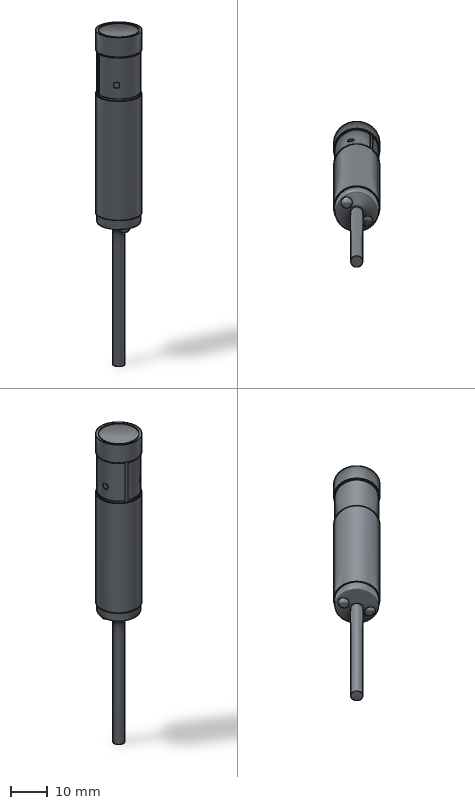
import cadquery as cq
import math

TOTAL_HEIGHT = 97.5
HOUSING_RADIUS = 6.3
BORE_RADIUS = 5.6
CABLE_RADIUS = 1.7

HEAD_BOTTOM_Z = 91.8
SHOULDER_Z = 79.0
BARREL_BOTTOM_Z = 44.3
NECK_RADIUS = 5.9

FACE_THICKNESS = 1.95
FACE_RECESS = 0.2

LABEL_RADIUS = 6.0
LABEL_TOP_GAP = 0.4
LABEL_BOTTOM_GAP = 0.6
LABEL_TOP_Z = HEAD_BOTTOM_Z - LABEL_TOP_GAP
LABEL_BOTTOM_Z = SHOULDER_Z + LABEL_BOTTOM_GAP
SLIT_WIDTH = 0.9
SLIT_CENTER_X = -0.2
SLIT_CORNER_RADIUS = 0.6

WINDOW_RADIUS = 0.9
WINDOW_DEPTH = 0.8
WINDOW_Z = 83.6
WINDOW_ANGLES = (-150.0, -30.0)

CAP_RADIUS = 6.0
CAP_RIM_Z = 41.3
CAP_RIM_FILLET = 0.7
CAP_TIP_Z = 40.4
CAP_TIP_RADIUS = 2.0
PLUG_LENGTH = 2.9
PLUG_TOP_Z = BARREL_BOTTOM_Z + PLUG_LENGTH
BUMP_RADIUS = 1.7
BUMP_OFFSET = 3.7
BUMP_BOTTOM_Z = 39.8


def cylinder(radius, bottom_z, top_z):
    return cq.Workplane("XY").workplane(offset=bottom_z).circle(radius).extrude(top_z - bottom_z)


def make_housing():
    barrel = cylinder(HOUSING_RADIUS, BARREL_BOTTOM_Z, SHOULDER_Z)
    neck = cylinder(NECK_RADIUS, SHOULDER_Z, HEAD_BOTTOM_Z)
    head = cylinder(HOUSING_RADIUS, HEAD_BOTTOM_Z, TOTAL_HEIGHT)
    face_seat = cylinder(BORE_RADIUS, TOTAL_HEIGHT - FACE_RECESS - FACE_THICKNESS, TOTAL_HEIGHT)
    plug_seat = cylinder(BORE_RADIUS, BARREL_BOTTOM_Z, PLUG_TOP_Z)
    return barrel.union(neck).union(head).cut(face_seat).cut(plug_seat)


def make_face():
    top_z = TOTAL_HEIGHT - FACE_RECESS
    return cylinder(BORE_RADIUS, top_z - FACE_THICKNESS, top_z)


def make_window(angle):
    rod = (
        cq.Workplane("YZ")
        .workplane(offset=LABEL_RADIUS - WINDOW_DEPTH)
        .center(0, WINDOW_Z)
        .circle(WINDOW_RADIUS)
        .extrude(2 * WINDOW_DEPTH)
        .rotate((0, 0, 0), (0, 0, 1), angle)
    )
    return rod.intersect(cylinder(LABEL_RADIUS, SHOULDER_Z, HEAD_BOTTOM_Z))


def make_label():
    """Thin wrap around the neck, its two ends meeting at a slit on the -Y side."""
    wrap = cylinder(LABEL_RADIUS, LABEL_BOTTOM_Z, LABEL_TOP_Z)
    wrap = wrap.cut(cylinder(NECK_RADIUS, LABEL_BOTTOM_Z, LABEL_TOP_Z))
    half = SLIT_WIDTH / 2
    flare = half + SLIT_CORNER_RADIUS
    corner_z = LABEL_TOP_Z - SLIT_CORNER_RADIUS
    bend = SLIT_CORNER_RADIUS * (1 - math.sqrt(0.5))
    slit = (
        cq.Workplane("XZ")
        .center(SLIT_CENTER_X, 0)
        .moveTo(-half, LABEL_BOTTOM_Z)
        .lineTo(half, LABEL_BOTTOM_Z)
        .lineTo(half, corner_z)
        .threePointArc((half + bend, LABEL_TOP_Z - bend), (flare, LABEL_TOP_Z))
        .lineTo(-flare, LABEL_TOP_Z)
        .threePointArc((-half - bend, LABEL_TOP_Z - bend), (-half, corner_z))
        .close()
        .extrude(HOUSING_RADIUS)
    )
    return wrap.cut(slit)


def make_end_cap():
    fillet_start = CAP_RADIUS - CAP_RIM_FILLET
    bend = CAP_RIM_FILLET * math.sqrt(0.5)
    body = (
        cq.Workplane("XZ")
        .moveTo(0, CAP_TIP_Z)
        .lineTo(CAP_TIP_RADIUS, CAP_TIP_Z)
        .lineTo(fillet_start, CAP_RIM_Z)
        .threePointArc(
            (fillet_start + bend, CAP_RIM_Z + CAP_RIM_FILLET - bend),
            (CAP_RADIUS, CAP_RIM_Z + CAP_RIM_FILLET),
        )
        .lineTo(CAP_RADIUS, BARREL_BOTTOM_Z)
        .lineTo(BORE_RADIUS, BARREL_BOTTOM_Z)
        .lineTo(BORE_RADIUS, PLUG_TOP_Z)
        .lineTo(0, PLUG_TOP_Z)
        .close()
        .revolve(360, (0, 0, 0), (0, 1, 0))
    )
    for side in (-1, 1):
        center = (side * BUMP_OFFSET, 0, BUMP_BOTTOM_Z + BUMP_RADIUS)
        body = body.union(cq.Workplane("XY").sphere(BUMP_RADIUS).translate(center))
    return body.cut(cylinder(CABLE_RADIUS, CAP_TIP_Z, PLUG_TOP_Z))


def make_cable():
    return cylinder(CABLE_RADIUS, 0, PLUG_TOP_Z)


housing = make_housing()
face = make_face()
label = make_label()
windows = []
for angle in WINDOW_ANGLES:
    window = make_window(angle)
    housing = housing.cut(window)
    label = label.cut(window)
    windows.append(window)
end_cap = make_end_cap()
cable = make_cable()

result = cq.Compound.makeCompound(
    [
        housing.val(),
        face.val(),
        label.val(),
        *[window.val() for window in windows],
        end_cap.val(),
        cable.val(),
    ]
)